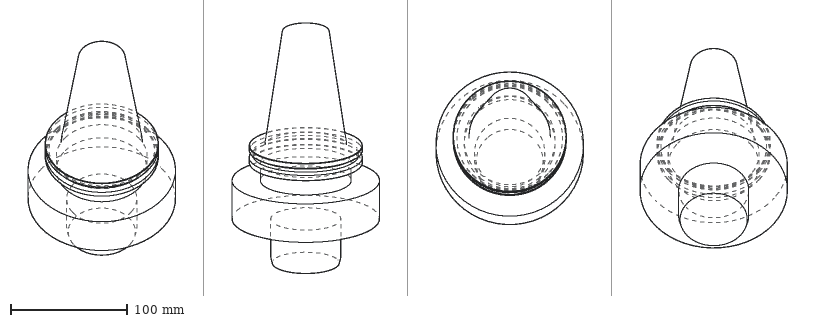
import cadquery as cq
import math

total_height = 211.5
spigot_length = 40.0
spigot_lead_in = 5.0
disc_top = 75.0
flange_bottom = 90.8
flange_thickness = 15.9
collar_height = 3.2
flange_top = flange_bottom + flange_thickness
gauge_line = flange_top + collar_height

spigot_diameter = 60.3
disc_diameter = 127.0
neck_diameter = 78.3
flange_diameter = 97.5
groove_diameter = 91.0
taper_diameter = 69.8

groove_floor_width = 2.8
groove_middle = 99.0
groove_side_angle = 30.0

spigot_lead_in_depth = 1.3
flange_chamfer = 0.5
foot_fillet = 0.6
tip_fillet = 2.1
taper_ratio = 7 / 24

tip_diameter = taper_diameter - taper_ratio * (total_height - gauge_line)


def turned_body():
    """Revolve the half profile of the holder about the Z axis."""
    spigot_radius = spigot_diameter / 2
    disc_radius = disc_diameter / 2
    neck_radius = neck_diameter / 2
    flange_radius = flange_diameter / 2
    taper_radius = taper_diameter / 2
    profile = (
        cq.Workplane("XZ")
        .moveTo(0, 0)
        .lineTo(spigot_radius - spigot_lead_in_depth, 0)
        .lineTo(spigot_radius, spigot_lead_in)
        .lineTo(spigot_radius, spigot_length)
        .lineTo(disc_radius, spigot_length)
        .lineTo(disc_radius, disc_top)
        .lineTo(neck_radius, disc_top)
        .lineTo(neck_radius, flange_bottom)
        .lineTo(flange_radius - flange_chamfer, flange_bottom)
        .lineTo(flange_radius, flange_bottom + flange_chamfer)
        .lineTo(flange_radius, flange_top - flange_chamfer)
        .lineTo(flange_radius - flange_chamfer, flange_top)
        .lineTo(taper_radius + foot_fillet, flange_top)
        .radiusArc((taper_radius, flange_top + foot_fillet), foot_fillet)
        .lineTo(taper_radius, gauge_line)
        .lineTo(tip_diameter / 2, total_height)
        .lineTo(0, total_height)
        .close()
    )
    return profile.revolve(360, (0, 0), (0, 1))


def gripper_groove():
    """Ring with sloping sides that is cut from the flange rim."""
    floor_radius = groove_diameter / 2
    mouth_radius = flange_diameter / 2
    side_rise = (mouth_radius - floor_radius) * math.tan(math.radians(groove_side_angle))
    half_floor = groove_floor_width / 2
    half_mouth = half_floor + side_rise
    profile = cq.Workplane("XZ").polyline([
        (floor_radius, groove_middle - half_floor),
        (mouth_radius, groove_middle - half_mouth),
        (mouth_radius, groove_middle + half_mouth),
        (floor_radius, groove_middle + half_floor),
    ]).close()
    return profile.revolve(360, (0, 0), (0, 1))


body = turned_body().faces(">Z").edges().fillet(tip_fillet)
result = body.cut(gripper_groove())